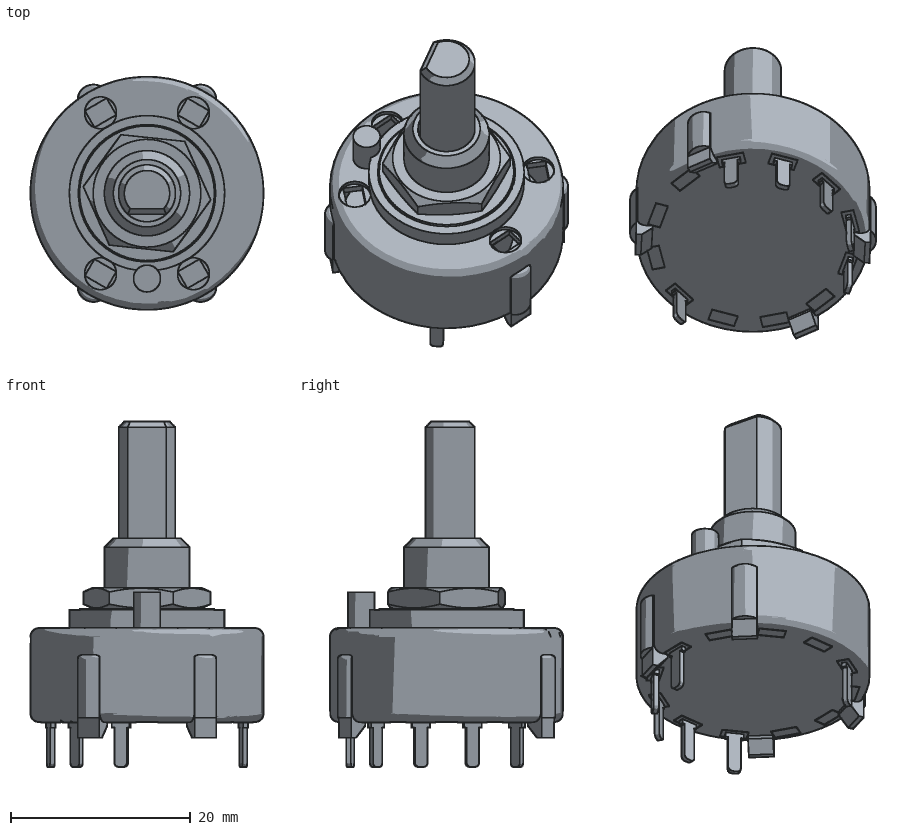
import cadquery as cq


body_diameter = 26.0
body_height = 10.5
body_edge_radius = 1.0
roof_thickness = 1.35
cavity_diameter = 24.0
cavity_floor = -9.0
hub_diameter = 10.31
rotor_diameter = 15.0
rotor_top = -4.5

collar_diameter = 17.3
collar_height = 2.0
washer_seat_diameter = 15.3
washer_seat_depth = 0.5
washer_diameter = 15.0
washer_top = 2.15

nut_across_corners = 14.28
nut_top = 4.5
nut_face_diameter = 12.0
nut_chamfer_height = 0.5
nut_turn = -6.0

bushing_diameter = 9.5
bushing_top = 10.0
bushing_chamfer = 1.0
shaft_diameter = 6.35
shaft_top = 23.0
shaft_chamfer = 0.65
shaft_flat_offset = 2.35
shaft_flat_bottom = 8.0

post_diameter = 3.0
post_height = 4.0
post_offset = 9.5

clip_angles = (60, 120, 240, 300)
clip_width = 2.8
rib_top = -3.0
rib_bottom = -10.0
rib_top_radius = 0.5
rib_side_reach = 13.05
rib_crown_reach = 13.72
rib_root = 12.5
hook_bottom = -12.25
hook_slope_top = -10.9
hook_inner_top = 11.25
hook_inner_bottom = 12.45
window_diameter = 3.55
window_depth = 0.5
window_offset = 10.35
slot_length = 2.15
slot_overcut = 0.5

terminal_offset = 11.1
terminal_count = 12
terminal_pitch = 360 / terminal_count
terminal_start = terminal_pitch / 2
pin_positions = (0, 4, 5, 6, 7, 8)
pad_width = 3.0
pad_length = 1.4
pad_height = 0.08
pin_width = 1.45
pin_thickness = 0.55
pin_bottom = -15.5
pin_tip_radius = 0.5
shoulder_width = 2.05
shoulder_bottom = -11.1
root_overlap = 0.5


def disc(diameter, bottom, top):
    """Upright cylinder on the Z axis between two heights."""
    return cq.Workplane("XY").workplane(offset=bottom).circle(diameter / 2).extrude(top - bottom)


def block(length, width, bottom, top, offset):
    """Upright block centred at a distance along X."""
    base = cq.Workplane("XY").workplane(offset=bottom).center(offset, 0)
    return base.rect(length, width).extrude(top - bottom)


def turned(shape, angle):
    """Shape turned about the Z axis."""
    return shape.rotate((0, 0, 0), (0, 0, 1), angle)


def make_housing():
    """Round housing with a ring-shaped cavity under its roof, around a hub and rotor."""
    cavity = disc(cavity_diameter, cavity_floor, -roof_thickness)
    cavity = cavity.cut(disc(hub_diameter, cavity_floor, -roof_thickness))
    cavity = cavity.cut(disc(rotor_diameter, cavity_floor, rotor_top))
    housing = disc(body_diameter, -body_height, 0).edges().fillet(body_edge_radius)
    collar = disc(collar_diameter, -root_overlap, collar_height)
    seat = disc(washer_seat_diameter, collar_height - washer_seat_depth, collar_height)
    washer = disc(washer_diameter, collar_height - washer_seat_depth, washer_top)
    return housing.cut(cavity).union(collar).cut(seat).union(washer)


def make_nut():
    """Hexagon with both ends bevelled at the corners by a shared turned profile."""
    hexagon = cq.Workplane("XY").workplane(offset=washer_top).polygon(6, nut_across_corners)
    hexagon = hexagon.extrude(nut_top - washer_top)
    corner_radius = nut_across_corners / 2
    face_radius = nut_face_diameter / 2
    profile = [
        (0, washer_top),
        (face_radius, washer_top),
        (corner_radius, washer_top + nut_chamfer_height),
        (corner_radius, nut_top - nut_chamfer_height),
        (face_radius, nut_top),
        (0, nut_top),
    ]
    envelope = cq.Workplane("XZ").polyline(profile).close().revolve(360, (0, 0, 0), (0, 1, 0))
    return turned(hexagon.intersect(envelope), nut_turn)


def make_bushing():
    """Chamfered bushing whose bore clears the shaft down to the end of its flat."""
    bushing = disc(bushing_diameter, 0, bushing_top).faces(">Z").chamfer(bushing_chamfer)
    return bushing.cut(disc(shaft_diameter, shaft_flat_bottom, bushing_top))


def make_shaft():
    """D-shaped shaft whose flat faces -Y."""
    flat_depth = shaft_diameter / 2 - shaft_flat_offset
    flat_cutter = cq.Workplane("XY").workplane(offset=shaft_flat_bottom)
    flat_cutter = flat_cutter.center(0, -shaft_flat_offset - flat_depth / 2)
    flat_cutter = flat_cutter.rect(shaft_diameter, flat_depth).extrude(shaft_top - shaft_flat_bottom)
    shaft = disc(shaft_diameter, shaft_flat_bottom - root_overlap, shaft_top).cut(flat_cutter)
    return shaft.faces(">Z").chamfer(shaft_chamfer)


def make_post():
    """Round locating post on the -Y side of the roof."""
    return disc(post_diameter, -root_overlap, post_height).translate((0, -post_offset, 0))


def make_rib():
    """Rib along X with a rounded outer crown and a softened top edge."""
    half = clip_width / 2
    rib = (
        cq.Workplane("XY")
        .workplane(offset=rib_bottom)
        .moveTo(rib_root, -half)
        .lineTo(rib_side_reach, -half)
        .threePointArc((rib_crown_reach, 0), (rib_side_reach, half))
        .lineTo(rib_root, half)
        .close()
        .extrude(rib_top - rib_bottom)
    )
    return rib.faces(">Z").edges("%CIRCLE").fillet(rib_top_radius)


def make_hook():
    """Hook below the rib, thinning towards its lower end on the inner side."""
    profile = [
        (hook_inner_top, rib_bottom),
        (rib_side_reach, rib_bottom),
        (rib_side_reach, hook_bottom),
        (hook_inner_bottom, hook_bottom),
        (hook_inner_top, hook_slope_top),
    ]
    return cq.Workplane("XZ").polyline(profile).close().extrude(clip_width / 2, both=True)


def make_window():
    """Cutter for the round recess and the slot through to the cavity."""
    recess = disc(window_diameter, -window_depth, 0).translate((window_offset, 0, 0))
    slot_bottom = -roof_thickness - slot_overcut
    slot = block(slot_length, clip_width, slot_bottom, 0, window_offset)
    round_limit = disc(window_diameter, slot_bottom, 0).translate((window_offset, 0, 0))
    return recess.union(slot.intersect(round_limit))


def make_pad():
    """Low rectangular pad under the housing."""
    root = -body_height + root_overlap
    return block(pad_length, pad_width, -body_height - pad_height, root, terminal_offset)


def make_pin():
    """Flat blade with a wider shoulder at the housing and a rounded tip."""
    root = -body_height + root_overlap
    blade = block(pin_thickness, pin_width, pin_bottom, root, terminal_offset)
    blade = blade.faces("<Z").edges("|X").fillet(pin_tip_radius)
    return blade.union(block(pin_thickness, shoulder_width, shoulder_bottom, root, terminal_offset))


switch = make_housing()
for feature in (make_nut(), make_bushing(), make_shaft(), make_post()):
    switch = switch.union(feature)

for angle in clip_angles:
    switch = switch.union(turned(make_rib().union(make_hook()), angle))
    switch = switch.cut(turned(make_window(), angle))

for position in range(terminal_count):
    angle = terminal_start + position * terminal_pitch
    switch = switch.union(turned(make_pad(), angle))
    if position in pin_positions:
        switch = switch.union(turned(make_pin(), angle))

result = cq.Workplane(switch.solids().val())